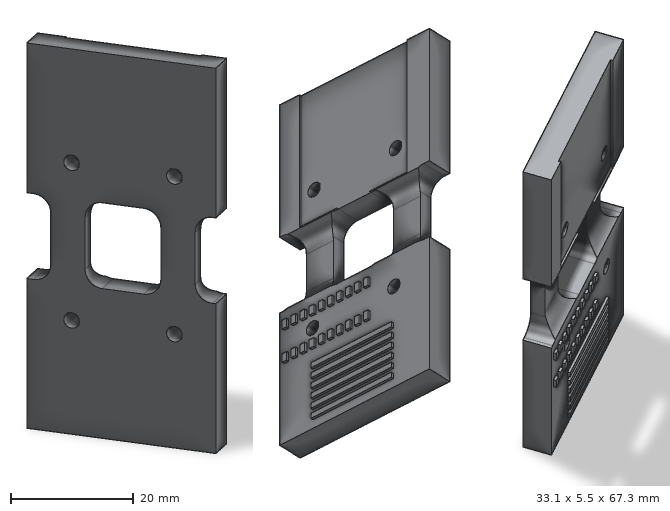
import cadquery as cq

plate_width = 33.1
plate_height = 67.33
plate_thickness = 5.0

feature_center_x = 0.29

opening_height = 15.0
opening_corner_radius = 3.0
window_width = 13.25
notch_wall_spacing = 25.3

channel_depth = 2.5
channel_corner_radius = 3.8

hole_diameter = 2.7
hole_spacing_x = 18.0
hole_spacing_z = 27.55

recess_width = 23.8
recess_depth = 0.4

relief_height = 0.5

pad_count = 10
pad_pitch = 2.0
pad_width = 1.0
pad_height = 1.7
first_pad_x = -2.95
pad_row_heights = (-10.5, -17.1)

strip_count = 6
strip_pitch = 2.0
strip_length = 17.8
strip_height = 1.0
first_strip_z = -21.45


def block(x_size, z_size, depth, x_center=0.0, z_center=0.0, y_start=0.0):
    """Box centred in X and Z that runs from y_start to y_start + depth."""
    box = cq.Workplane("XY").box(x_size, depth, z_size)
    return box.translate((x_center, y_start + depth / 2, z_center))


def opening(x_size, x_center):
    """Round-cornered cutter through the full thickness of the plate."""
    cutter = block(x_size, opening_height, plate_thickness, x_center)
    return cutter.edges("|Y").fillet(opening_corner_radius)


def cut_openings(plate):
    """Cut the central window and the notch in each side edge."""
    plate = plate.cut(opening(window_width, feature_center_x))
    notch_cutter_width = plate_width / 2
    for side in (-1, 1):
        wall_x = feature_center_x + side * notch_wall_spacing / 2
        plate = plate.cut(opening(notch_cutter_width, wall_x + side * notch_cutter_width / 2))
    return plate


def cut_channel(plate):
    """Thin the webs between the openings with a channel whose floor corners are rounded."""
    cutter = block(
        plate_width, opening_height, 2 * channel_depth, y_start=plate_thickness - channel_depth
    )
    return plate.cut(cutter.edges("|X and <Y").fillet(channel_corner_radius))


def cut_holes(plate):
    """Drill the four through holes."""
    holes = (
        cq.Workplane("XZ", origin=(feature_center_x, 0, 0))
        .rarray(hole_spacing_x, hole_spacing_z, 2, 2)
        .circle(hole_diameter / 2)
        .extrude(-plate_thickness)
    )
    return plate.cut(holes)


def cut_recess(plate):
    """Cut the shallow recess above the channel."""
    recess_bottom_z = opening_height / 2
    recess_height = plate_height / 2 - recess_bottom_z
    recess = block(
        recess_width,
        recess_height,
        recess_depth,
        feature_center_x,
        recess_bottom_z + recess_height / 2,
        plate_thickness - recess_depth,
    )
    return plate.cut(recess)


def add_pads(plate):
    """Raise the rows of small pads."""
    for row_z in pad_row_heights:
        for i in range(pad_count):
            pad_x = first_pad_x + i * pad_pitch
            pad = block(pad_width, pad_height, relief_height, pad_x, row_z, plate_thickness)
            plate = plate.union(pad)
    return plate


def add_strips(plate):
    """Raise the stack of long strips below the pads."""
    for i in range(strip_count):
        strip_z = first_strip_z - i * strip_pitch
        strip = block(
            strip_length, strip_height, relief_height, feature_center_x, strip_z, plate_thickness
        )
        plate = plate.union(strip)
    return plate


plate = block(plate_width, plate_height, plate_thickness)
plate = cut_openings(plate)
plate = cut_channel(plate)
plate = cut_holes(plate)
plate = cut_recess(plate)
plate = add_pads(plate)
result = add_strips(plate)